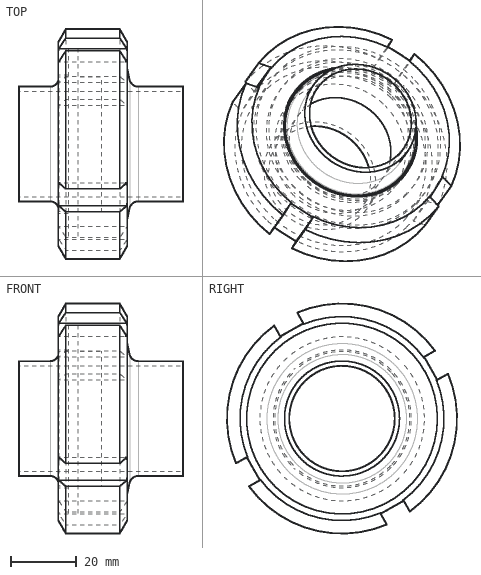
import cadquery as cq
import math


union_length = 50.0
bore_radius = 32.0 / 2
pipe_radius = 35.0 / 2

nut_start = 12.0
nut_width = 21.0
nut_end = nut_start + nut_width
nut_radius = 70.0 / 2
nut_face_radius = 62.0 / 2
nut_chamfer_angle = math.radians(30)
nut_chamfer_length = (nut_radius - nut_face_radius) * math.tan(nut_chamfer_angle)
nut_hole_radius = 42.0 / 2
nut_web = 3.0
web_end = nut_start + nut_web
slot_count = 4
slot_width = 8.0
slot_floor = nut_face_radius
slot_first_angle = 29.5

shoulder_radius = 41.0 / 2
liner_fillet_radius = 2.5
fillet_start = 9.6
shoulder_start = fillet_start + liner_fillet_radius
collar_radius = 50.0 / 2
collar_thickness = 3.0
collar_end = web_end + collar_thickness
nose_radius = shoulder_radius
liner_length = 25.0

thread_radius = 58.0 / 2
male_fillet_radius = 2.6
cone_angle = math.radians(12)
cone_rim_radius = 45.8 / 2
cone_tip = nut_end + (cone_rim_radius - pipe_radius) * math.tan(cone_angle)


def revolve_about_x(profile):
    """Turn a closed (x, radius) profile into a solid around the X axis."""
    return profile.close().revolve(360, (0, 0, 0), (1, 0, 0))


def make_liner():
    """Thin pipe filleted into a shoulder, a collar behind the nut web and a nose."""
    fillet_centre_radius = pipe_radius + liner_fillet_radius
    fillet_reach = liner_fillet_radius * math.sin(math.radians(45))
    profile = (
        cq.Workplane("XY")
        .moveTo(0, bore_radius)
        .lineTo(0, pipe_radius)
        .lineTo(fillet_start, pipe_radius)
        .threePointArc(
            (fillet_start + fillet_reach, fillet_centre_radius - fillet_reach),
            (shoulder_start, fillet_centre_radius),
        )
        .lineTo(shoulder_start, shoulder_radius)
        .lineTo(web_end, shoulder_radius)
        .lineTo(web_end, collar_radius)
        .lineTo(collar_end, collar_radius)
        .lineTo(collar_end, nose_radius)
        .lineTo(liner_length, nose_radius)
        .lineTo(liner_length, bore_radius)
    )
    return revolve_about_x(profile)


def make_male_end():
    """Threaded head, recessed for the liner nose, with a cone filleted into a thin pipe."""
    turn = math.pi / 2 - cone_angle
    tangent_length = male_fillet_radius * math.tan(turn / 2)
    cone_tangent = (
        cone_tip - tangent_length * math.sin(cone_angle),
        pipe_radius + tangent_length * math.cos(cone_angle),
    )
    pipe_tangent = (cone_tip + tangent_length, pipe_radius)
    fillet_middle = (
        pipe_tangent[0] - male_fillet_radius * math.sin(turn / 2),
        pipe_radius + male_fillet_radius * (1 - math.cos(turn / 2)),
    )

    profile = (
        cq.Workplane("XY")
        .moveTo(liner_length, bore_radius)
        .lineTo(liner_length, nose_radius)
        .lineTo(collar_end, nose_radius)
        .lineTo(collar_end, thread_radius)
        .lineTo(nut_end, thread_radius)
        .lineTo(nut_end, cone_rim_radius)
        .lineTo(*cone_tangent)
        .threePointArc(fillet_middle, pipe_tangent)
        .lineTo(union_length, pipe_radius)
        .lineTo(union_length, bore_radius)
    )
    return revolve_about_x(profile)


def make_slot_cutter(angle):
    """Block that cuts one flat-bottomed spanner slot across the nut rim."""
    cutter_height = nut_radius
    return (
        cq.Workplane("XY")
        .box(nut_width, slot_width, cutter_height, centered=(False, True, False))
        .translate((nut_start, 0, slot_floor))
        .rotate((0, 0, 0), (1, 0, 0), angle)
    )


def make_nut():
    """Chamfered ring with a web at one end, a thread bore and spanner slots."""
    profile = (
        cq.Workplane("XY")
        .moveTo(nut_start, nut_hole_radius)
        .lineTo(nut_start, nut_face_radius)
        .lineTo(nut_start + nut_chamfer_length, nut_radius)
        .lineTo(nut_end - nut_chamfer_length, nut_radius)
        .lineTo(nut_end, nut_face_radius)
        .lineTo(nut_end, thread_radius)
        .lineTo(web_end, thread_radius)
        .lineTo(web_end, nut_hole_radius)
    )
    nut = revolve_about_x(profile)
    for index in range(slot_count):
        nut = nut.cut(make_slot_cutter(slot_first_angle + index * 360 / slot_count))
    return nut


liner = make_liner()
male_end = make_male_end()
nut = make_nut()

result = cq.Compound.makeCompound([liner.val(), male_end.val(), nut.val()])